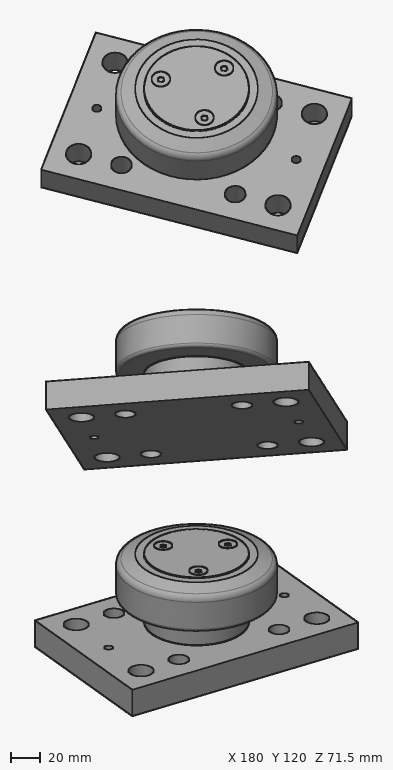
import cadquery as cq
import math

plate_length = 180
plate_width = 120.0
plate_thickness = 20.0
hole_row_y = 40.0
outer_hole_x = 70.0
outer_hole_diameter = 17.0
inner_hole_x = 40.0
inner_hole_diameter = 13.9
pin_hole_diameter = 6.0

neck_diameter = 71.0
neck_end_diameter = 70.5
neck_end_height = 0.5

total_height = 71.5
roller_diameter = 108
roller_bottom = 39.8
bottom_round = 2.3
shoulder_round = 5.0
crown_angle = math.radians(20)
rim_diameter = 82.0
cap_step = 0.7
rim_height = total_height - cap_step

cap_diameter = 70.0
cap_bore_diameter = 70.5
cap_gap_depth = 1.0
screw_count = 3
screw_circle_radius = 25.0
screw_recess_diameter = 12.5
screw_recess_depth = 0.5
socket_corner_diameter = 4.7
socket_depth = 0.9


def make_plate():
    plate = cq.Workplane("XY").box(plate_length, plate_width, plate_thickness, centered=(True, True, False))
    for hole_x, diameter in ((outer_hole_x, outer_hole_diameter), (inner_hole_x, inner_hole_diameter)):
        corners = [(sx * hole_x, sy * hole_row_y) for sx in (-1, 1) for sy in (-1, 1)]
        plate = plate.faces(">Z").workplane().pushPoints(corners).hole(diameter)
    pin_points = [(-outer_hole_x, 0), (outer_hole_x, 0)]
    return plate.faces(">Z").workplane().pushPoints(pin_points).hole(pin_hole_diameter)


def make_roller():
    """Revolved roller with a conical crown that blends tangentially into the cylindrical side."""
    radius = roller_diameter / 2
    rim_radius = rim_diameter / 2
    round_center_x = radius - shoulder_round
    crown_x = round_center_x + shoulder_round * math.sin(crown_angle)
    crown_z = rim_height - (crown_x - rim_radius) * math.tan(crown_angle)
    round_center_z = crown_z - shoulder_round * math.cos(crown_angle)
    middle_angle = (math.pi / 2 - crown_angle) / 2
    round_middle = (
        round_center_x + shoulder_round * math.cos(middle_angle),
        round_center_z + shoulder_round * math.sin(middle_angle),
    )
    profile = (
        cq.Workplane("XZ")
        .moveTo(0, roller_bottom)
        .lineTo(radius - bottom_round, roller_bottom)
        .radiusArc((radius, roller_bottom + bottom_round), -bottom_round)
        .lineTo(radius, round_center_z)
        .threePointArc(round_middle, (crown_x, crown_z))
        .lineTo(rim_radius, rim_height)
        .lineTo(0, rim_height)
        .close()
    )
    return profile.revolve(360, (0, 0, 0), (0, 1, 0))


def disc(diameter, bottom, top):
    return cq.Workplane("XY").workplane(offset=bottom).circle(diameter / 2).extrude(top - bottom)


def cut_screws(body):
    """Sink each screw head slightly below the cap and cut its hexagon socket."""
    head_top = total_height - screw_recess_depth
    for index in range(screw_count):
        angle = math.pi + index * 2 * math.pi / screw_count
        center = (screw_circle_radius * math.cos(angle), screw_circle_radius * math.sin(angle))
        recess = disc(screw_recess_diameter, head_top, total_height).translate(center + (0,))
        socket = (
            cq.Workplane("XY")
            .workplane(offset=head_top - socket_depth)
            .center(*center)
            .polygon(6, socket_corner_diameter)
            .extrude(socket_depth)
        )
        body = body.cut(recess).cut(socket)
    return body


neck_core = disc(neck_end_diameter, plate_thickness, roller_bottom)
neck_sleeve = disc(neck_diameter, plate_thickness + neck_end_height, roller_bottom - neck_end_height)
neck = neck_core.union(neck_sleeve)
cap_bore = disc(cap_bore_diameter, rim_height - cap_gap_depth, rim_height)
cap = disc(cap_diameter, rim_height - cap_gap_depth, total_height)

result = make_plate().union(neck).union(make_roller()).cut(cap_bore).union(cap)
result = cut_screws(result)